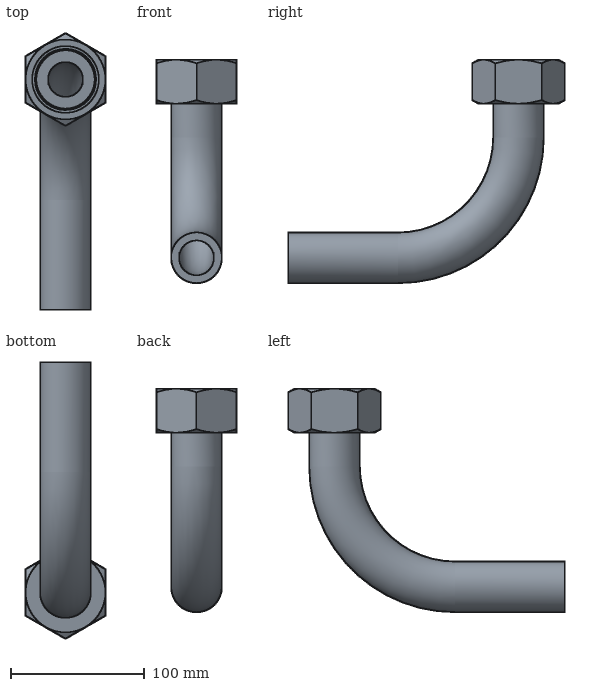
import cadquery as cq
import math

TUBE_OD = 38.0
TUBE_BORE = 26.0
BEND_ANGLE = 90.0
BEND_RADIUS = 90.0
TUBE_REACH = 172.0
TOTAL_RISE = 148.0

NUT_FLATS = 60.0
NUT_HEIGHT = 33.0
NUT_FACE_DIA = 59.6
CHAMFER_ANGLE = 30.0
THREAD_BORE = 49.84

HEX_SIDES = 6
HEX_HALF_STEP = 180.0 / HEX_SIDES

CONE_FACE_DIA = 43.5
CONE_BASE_DIA = 45.7
CONE_HALF_ANGLE = 12.0
CONE_RECESS = 9.4

NUT_CORNERS = NUT_FLATS / math.cos(math.radians(HEX_HALF_STEP))
NUT_BOTTOM = TOTAL_RISE - NUT_HEIGHT
CONE_HEIGHT = (CONE_BASE_DIA - CONE_FACE_DIA) / 2 / math.tan(math.radians(CONE_HALF_ANGLE))
CONE_FACE_Z = TOTAL_RISE - CONE_RECESS
CONE_BASE_Z = CONE_FACE_Z - CONE_HEIGHT


def bent_rod(diameter, top_z):
    """Round rod along the tube centreline, from the open end up to top_z."""
    horizontal = (
        cq.Workplane("XZ", origin=(0, -BEND_RADIUS, 0))
        .circle(diameter / 2)
        .extrude(TUBE_REACH - BEND_RADIUS)
    )
    bend = (
        cq.Workplane("XY", origin=(0, 0, BEND_RADIUS))
        .circle(diameter / 2)
        .revolve(BEND_ANGLE, (0, -BEND_RADIUS, 0), (-1, -BEND_RADIUS, 0))
    )
    vertical = (
        cq.Workplane("XY", origin=(0, 0, BEND_RADIUS))
        .circle(diameter / 2)
        .extrude(top_z - BEND_RADIUS)
    )
    return horizontal.union(bend).union(vertical)


def chamfered_hexagon():
    """Hexagonal prism, corners along Y, coned at both ends."""
    prism = (
        cq.Workplane("XY", origin=(0, 0, NUT_BOTTOM))
        .polygon(HEX_SIDES, NUT_CORNERS)
        .extrude(NUT_HEIGHT)
        .rotate((0, 0, 0), (0, 0, 1), HEX_HALF_STEP)
    )
    face_radius = NUT_FACE_DIA / 2
    corner_radius = NUT_CORNERS / 2
    drop = (corner_radius - face_radius) * math.tan(math.radians(CHAMFER_ANGLE))
    envelope = (
        cq.Workplane("XZ")
        .moveTo(0, NUT_BOTTOM)
        .lineTo(face_radius, NUT_BOTTOM)
        .lineTo(corner_radius, NUT_BOTTOM + drop)
        .lineTo(corner_radius, TOTAL_RISE - drop)
        .lineTo(face_radius, TOTAL_RISE)
        .lineTo(0, TOTAL_RISE)
        .close()
        .revolve(360, (0, 0, 0), (0, 1, 0))
    )
    return prism.intersect(envelope)


def nut_recess():
    """Thread bore opening at the nut top, as deep as the foot of the cone."""
    return (
        cq.Workplane("XY", origin=(0, 0, CONE_BASE_Z))
        .circle(THREAD_BORE / 2)
        .extrude(TOTAL_RISE - CONE_BASE_Z)
    )


def sealing_cone():
    """Tapered nipple standing in the recess."""
    return (
        cq.Workplane("XY", origin=(0, 0, CONE_BASE_Z))
        .circle(CONE_BASE_DIA / 2)
        .extrude(CONE_HEIGHT, taper=CONE_HALF_ANGLE)
    )


nut = chamfered_hexagon().cut(nut_recess()).union(sealing_cone())
tube = bent_rod(TUBE_OD, CONE_BASE_Z)
bore = bent_rod(TUBE_BORE, CONE_FACE_Z)

result = nut.union(tube).cut(bore)